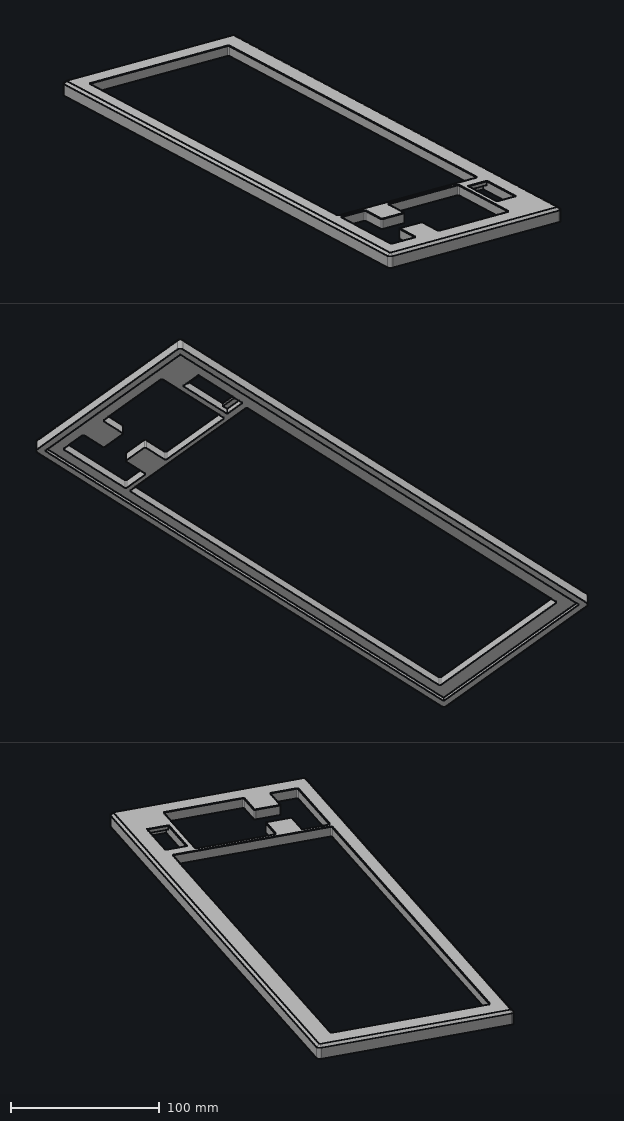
import cadquery as cq
LENGTH = 378.0
WIDTH = 143.0
HEIGHT = 10.5
OUTER_CORNER_RADIUS = 2.5
OUTER_CHAMFER = 2.0

KEY_PITCH = 19.05
CLEARANCE = 0.7
INNER_CORNER_RADIUS = 0.97
INNER_CHAMFER = 0.39
KEY_ROWS = 6
MAIN_COLUMNS = 15
CLUSTER_COLUMNS = 3
NAVIGATION_ROWS = 3
ARROW_ROWS = 2
NAVIGATION_LIFT = 1.07

RECESS_DEPTH = 2.92
RECESS_WALL = 5.0

POCKET_ROOF = 3.11
POCKET_OVERHANG = 4.0

MAIN_LEFT = -173.83
CLUSTER_LEFT = 116.3
KEYS_BOTTOM = -59.29

WINDOW_LEFT = 121.99
WINDOW_BOTTOM = 42.25
WINDOW_LENGTH = 32.77
WINDOW_WIDTH = 15.01


def cutter(left, bottom, length, width):
    """Rectangular block through the full height, placed by its lower left corner."""
    return cq.Workplane("XY").box(length, width, HEIGHT, centered=False).translate((left, bottom, 0))


def key_cutter(left, bottom, columns, rows):
    """Block that clears a rectangle of keys."""
    return cutter(left, bottom, columns * KEY_PITCH + CLEARANCE, rows * KEY_PITCH + CLEARANCE)


def make_frame():
    """Solid slab with rounded corners and a chamfered top rim."""
    slab = cq.Workplane("XY").box(LENGTH, WIDTH, HEIGHT, centered=(True, True, False))
    return slab.edges("|Z").fillet(OUTER_CORNER_RADIUS).faces(">Z").edges().chamfer(OUTER_CHAMFER)


def make_cluster():
    """Navigation keys above the arrow keys, joined by the up-arrow column."""
    navigation_bottom = KEYS_BOTTOM + ARROW_ROWS * KEY_PITCH + NAVIGATION_LIFT
    arrows = key_cutter(CLUSTER_LEFT, KEYS_BOTTOM, CLUSTER_COLUMNS, 1)
    up_arrow = key_cutter(CLUSTER_LEFT + KEY_PITCH, KEYS_BOTTOM, 1, ARROW_ROWS + 1)
    navigation = key_cutter(CLUSTER_LEFT, navigation_bottom, CLUSTER_COLUMNS, NAVIGATION_ROWS)
    return arrows.union(up_arrow).union(navigation)


def make_openings():
    """All through openings; only the key openings have rounded corners."""
    main_keys = key_cutter(MAIN_LEFT, KEYS_BOTTOM, MAIN_COLUMNS, KEY_ROWS)
    key_openings = main_keys.union(make_cluster()).edges("|Z").fillet(INNER_CORNER_RADIUS)
    window = cutter(WINDOW_LEFT, WINDOW_BOTTOM, WINDOW_LENGTH, WINDOW_WIDTH)
    return key_openings.union(window)


def make_recess():
    """Shallow pocket in the underside, inside a rim of even thickness."""
    length = LENGTH - 2 * RECESS_WALL
    width = WIDTH - 2 * RECESS_WALL
    return cq.Workplane("XY").box(length, width, RECESS_DEPTH, centered=(True, True, False))


def make_window_pocket():
    """Pocket from below that reaches past both ends of the window."""
    length = WINDOW_LENGTH + 2 * POCKET_OVERHANG
    depth = HEIGHT - POCKET_ROOF
    pocket = cq.Workplane("XY").box(length, WINDOW_WIDTH, depth, centered=False)
    return pocket.translate((WINDOW_LEFT - POCKET_OVERHANG, WINDOW_BOTTOM, 0))


def chamfer_opening_rims(frame):
    """Chamfer the top edges of every opening."""
    rims = frame.faces(">Z").val().innerWires()
    rim_edges = [edge for rim in rims for edge in rim.Edges()]
    return frame.newObject(rim_edges).chamfer(INNER_CHAMFER)


result = chamfer_opening_rims(make_frame().cut(make_recess()).cut(make_window_pocket()).cut(make_openings()))